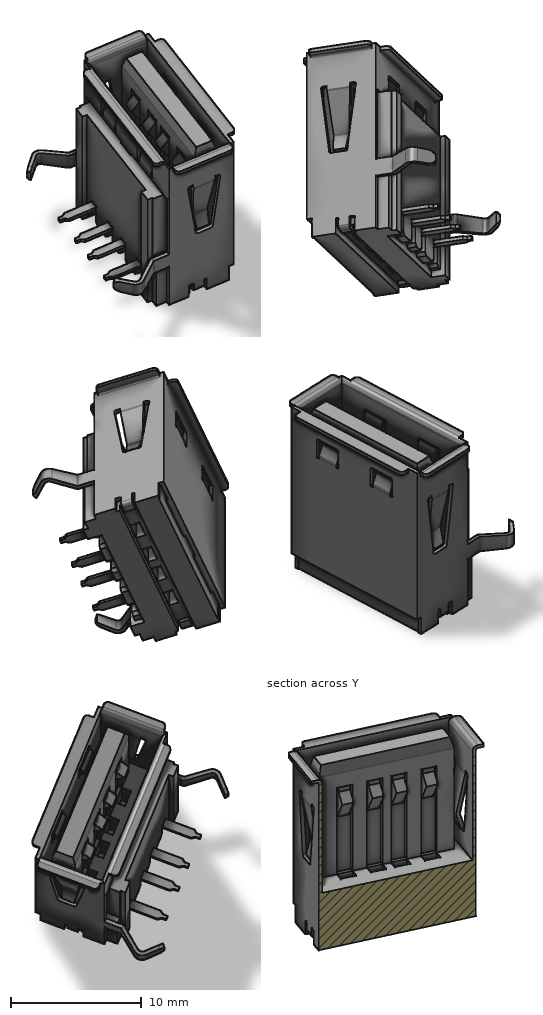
import cadquery as cq
import math

SHEET = 0.32
HALF_WIDTH = 6.55
DEPTH = 5.70
HEIGHT = 15.26
HALF_CAVITY = HALF_WIDTH - SHEET
BACK_INNER = DEPTH - SHEET
BACK_SKIRT_Z = 1.54
SKIRT_BACK_Y = 5.28

FLANGE_OUT = 0.73
FLANGE_SIDE_OUT = 0.64
FLANGE_THICK = 0.30
FLANGE_HALF_SPAN = 5.62
FLANGE_CORNER = 0.35
MOUTH_RADIUS = 0.45
FLANGE_ROOT_RADIUS = 0.13

FLOOR_Z = 5.10
HOUSING_BACK_Y = 5.20
PLATE_FRONT_Y = -0.91
PLATE_TOP_Z = 11.52
PLATE_HALF_WIDTH = 5.62
PLATE_FOOT_HALF_WIDTH = 6.15
RAIL_FRONT_Y = -1.30
RAIL_INNER_X = 4.53
RAIL_OUTER_X = 5.49
KEY_WIDTH = 1.50
KEY_DEPTH = 0.10
KEY_HEIGHT = 0.50
BACK_PAD_X = 2.92
BACK_PAD_WIDTH = 3.74
BACK_PAD_TOP_Z = 4.60

TONGUE_HALF_WIDTH = 5.60
TONGUE_FRONT_Y = 2.80
TONGUE_BACK_Y = 4.68
TONGUE_TOP_Z = 15.00
TONGUE_TAPER_Z = 14.10
NOSE_HALF_WIDTH = 5.38
NOSE_FRONT_Y = 3.05
NOSE_BACK_Y = 4.47

PIN_CENTRES = (-3.5, -1.0, 1.0, 3.5)
PIN_WIDTH = 0.70
PIN_TIP_WIDTH = 0.29
PIN_THICK = 0.30
PIN_BOTTOM_Z = 2.13
PIN_END_Y = -3.93
PIN_TAPER_START_Y = -3.30
PIN_TAPER_END_Y = -3.58
CONTACT_WIDTH = 0.95
GROOVE_WIDTH = 1.30
GROOVE_DEPTH = 0.33
GROOVE_TOP_Z = 12.80
FLOOR_SLOT_FRONT_Y = 2.04
CONTACT_CREST_Y = 2.15
CONTACT_CREST_Z = 11.60
CONTACT_TOP_Z = 12.75
CONTACT_SHOULDER_Z = 12.35
CONTACT_UPRIGHT_Y = 2.90
CONTACT_BOTTOM_Z = 10.0

PLATE_RECESS_Z = 0.55
PLATE_RECESS_DEPTH = 0.75
PIN_SLOT_TOP_Z = 2.53
PIN_SLOT_FLARE = 0.27

LATCH_X = 2.79
LATCH_WINDOW_WIDTH = 2.26
LATCH_WINDOW_BOTTOM_Z = 11.78
LATCH_WINDOW_TOP_Z = 13.53
LATCH_WINDOW_CORNER = 0.20
LATCH_WIDTH = 1.80
LATCH_KNEE_Z = 12.93
LATCH_TOP_Z = 13.40
FRONT_LATCH_DIP = 0.27
BACK_LATCH_DIP = 0.45
SPRING_BEND_RADIUS = 0.30

SIDE_WINDOW_TOP_Z = 12.28
SIDE_WINDOW_BOTTOM_Z = 6.70
SIDE_WINDOW_CORNER = 0.20
SIDE_WINDOW_TOP_Y = (1.62, 4.55)
SIDE_WINDOW_BOTTOM_Y = (2.37, 3.84)
SIDE_SPRING_TOP_Y = (2.11, 4.08)
SIDE_SPRING_BOTTOM_Y = (2.59, 3.56)
SIDE_SPRING_BOTTOM_Z = 6.95
SIDE_SPRING_KNEE_Z = 8.35
SIDE_SPRING_DIP = 0.62

LUG_TOP_Z = 5.67
LUG_BOTTOM_Z = 4.28
LUG_TIP_TOP_Z = 5.50
LUG_TIP_BOTTOM_Z = 4.42
LUG_TIP_RADIUS = 0.45
LUG_SHOULDER_Y = -1.42
LUG_END_Y = -5.0
LUG_ELBOW = (-8.036, -3.45)
LUG_TIP = (-6.55, -4.89)
LUG_ELBOW_RADIUS = 0.55
LUG_SHOULDER_RADIUS = 0.20

NOTCH_Y = (1.98, 3.32)
NOTCH_HEIGHT = 0.65
CLIP_SLOT_Y = (1.73, 3.32)
CLIP_Y = (2.20, 3.08)
CLIP_SLOT_TOP_Z = 1.25
CLIP_SLOT_CORNER = 0.11
CLIP_BOTTOM_Z = 0.30
CLIP_BEND_RADIUS = 0.32
CLIP_LENGTH = 0.80


def block(x_range, y_range, z_range):
    """Axis-aligned box given by its limits."""
    size = [high - low for low, high in (x_range, y_range, z_range)]
    corner = (x_range[0], y_range[0], z_range[0])
    return cq.Workplane("XY").box(*size, centered=False).translate(corner)


def span(half):
    """Limits placed evenly about zero."""
    return (-half, half)


def around(centre, width):
    """Limits of a width placed evenly about a centre."""
    return (centre - width / 2, centre + width / 2)


def prism_along_x(points, x_range):
    """Prism with a closed (Y, Z) outline."""
    plane = cq.Workplane("YZ", origin=(x_range[0], 0, 0))
    return plane.polyline(points).close().extrude(x_range[1] - x_range[0])


def prism_along_y(points, y_range):
    """Prism with a closed (X, Z) outline."""
    plane = cq.Workplane("XZ", origin=(0, y_range[1], 0))
    return plane.polyline(points).close().extrude(y_range[1] - y_range[0])


def both_sides(body):
    """The body joined with its mirror image across X = 0."""
    return body.union(body.mirror("YZ"))


def direction(start, end):
    length = math.dist(start, end)
    return ((end[0] - start[0]) / length, (end[1] - start[1]) / length)


def step(point, heading, distance):
    return (point[0] + heading[0] * distance, point[1] + heading[1] * distance)


def strip_bend(corner, before, after, radius, offset):
    """Start, middle and end of one bend arc, offset to the left of the path."""
    turn = math.atan2(
        before[0] * after[1] - before[1] * after[0],
        before[0] * after[0] + before[1] * after[1],
    )
    arc_radius = radius - math.copysign(1, turn) * offset
    half_turn = abs(turn) / 2
    bisector = direction((0, 0), (after[0] - before[0], after[1] - before[1]))
    centre = step(corner, bisector, radius / math.cos(half_turn))
    reach = arc_radius * math.tan(half_turn)
    apex = step(centre, bisector, -arc_radius / math.cos(half_turn))
    return (
        step(apex, before, -reach),
        step(centre, bisector, -arc_radius),
        step(apex, after, reach),
    )


def bent_strip(plane, path, radii, thickness):
    """Closed outline of an even strip along an open path, one bend radius per inner corner."""
    headings = [direction(start, end) for start, end in zip(path, path[1:])]
    sides = []
    for offset in (thickness / 2, -thickness / 2):
        bends = []
        for corner, before, after, radius in zip(path[1:], headings, headings[1:], radii):
            bends.append(strip_bend(corner, before, after, radius, offset))
        first = step(path[0], (-headings[0][1], headings[0][0]), offset)
        last = step(path[-1], (-headings[-1][1], headings[-1][0]), offset)
        sides.append((first, bends, last))
    (left_first, left_bends, left_last), (right_first, right_bends, right_last) = sides
    outline = plane.moveTo(*left_first)
    for start, middle, end in left_bends:
        outline = outline.lineTo(*start).threePointArc(middle, end)
    outline = outline.lineTo(*left_last).lineTo(*right_last)
    for start, middle, end in reversed(right_bends):
        outline = outline.lineTo(*end).threePointArc(middle, start)
    return outline.lineTo(*right_first).close()


def flange_plates():
    """Four flat flanges around the mouth, each with rounded outer corners."""
    z_range = (HEIGHT - FLANGE_THICK, HEIGHT)
    side_edge = HALF_WIDTH + FLANGE_SIDE_OUT
    front = block(span(FLANGE_HALF_SPAN), (-FLANGE_OUT, SHEET), z_range)
    front = front.edges("|Z and <Y").fillet(FLANGE_CORNER)
    back = block(span(FLANGE_HALF_SPAN), (BACK_INNER, DEPTH + FLANGE_OUT), z_range)
    back = back.edges("|Z and >Y").fillet(FLANGE_CORNER)
    side = block((-side_edge, -HALF_CAVITY), (SHEET, BACK_INNER), z_range)
    side = side.edges("|Z and <X").fillet(FLANGE_CORNER)
    return front.union(back).union(both_sides(side))


def flange_root_fillets(body):
    """Round the corner between each flange underside and its wall."""
    z = HEIGHT - FLANGE_THICK
    middle_y = DEPTH / 2
    for point in (
        (0, 0, z),
        (0, DEPTH, z),
        (-HALF_WIDTH, middle_y, z),
        (HALF_WIDTH, middle_y, z),
    ):
        body = body.edges(cq.NearestToPointSelector(point)).fillet(FLANGE_ROOT_RADIUS)
    return body


def shell_walls():
    """Open box with a flanged mouth, its front and side inner edges rolled outward."""
    solid_box = block(span(HALF_WIDTH), (0, DEPTH), (0, HEIGHT))
    envelope = flange_root_fillets(solid_box.union(flange_plates()))
    bore_y = (SHEET, BACK_INNER)
    margin = 2 * FLANGE_OUT
    ring = block(span(HALF_WIDTH + margin), (-margin, DEPTH + margin), (0, HEIGHT))
    ring = ring.cut(block(span(HALF_CAVITY), bore_y, (0, HEIGHT)))
    rolled_edges = cq.selectors.BoxSelector(
        (-HALF_WIDTH, 0, HEIGHT - SHEET), (HALF_WIDTH, BACK_INNER - SHEET, HEIGHT + SHEET)
    )
    ring = ring.edges(rolled_edges).fillet(MOUTH_RADIUS)
    shell = envelope.intersect(ring)
    shell = shell.cut(block(span(HALF_WIDTH), (SKIRT_BACK_Y, DEPTH), (0, BACK_SKIRT_Z)))
    corner_gap = block((-HALF_CAVITY, -PLATE_HALF_WIDTH), (0, SHEET), (0, PLATE_TOP_Z))
    return shell.cut(both_sides(corner_gap))


def latch_window(x, y_range):
    z_range = (LATCH_WINDOW_BOTTOM_Z, LATCH_WINDOW_TOP_Z)
    window = block(around(x, LATCH_WINDOW_WIDTH), y_range, z_range)
    return window.edges("|Y and >Z").fillet(LATCH_WINDOW_CORNER)


def latch_spring(x, wall_y, dip):
    """Tongue rooted at the window sill, kinked into the cavity (dip along +Y if positive)."""
    path = [
        (wall_y, LATCH_WINDOW_BOTTOM_Z - SHEET / 2),
        (wall_y, LATCH_WINDOW_BOTTOM_Z + SHEET / 2),
        (wall_y + dip, LATCH_KNEE_Z),
        (wall_y + dip / 4, LATCH_TOP_Z),
    ]
    plane = cq.Workplane("YZ", origin=(x - LATCH_WIDTH / 2, 0, 0))
    radii = (SPRING_BEND_RADIUS, SPRING_BEND_RADIUS)
    return bent_strip(plane, path, radii, SHEET).extrude(LATCH_WIDTH)


def add_latches(shell):
    for x in (-LATCH_X, LATCH_X):
        shell = shell.cut(latch_window(x, (0, SHEET)))
        shell = shell.cut(latch_window(x, (BACK_INNER, DEPTH)))
        shell = shell.union(latch_spring(x, SHEET / 2, FRONT_LATCH_DIP))
        shell = shell.union(latch_spring(x, DEPTH - SHEET / 2, -BACK_LATCH_DIP))
    return shell


def trapezoid(bottom_y, bottom_z, top_y, top_z):
    return [
        (bottom_y[0], bottom_z),
        (bottom_y[1], bottom_z),
        (top_y[1], top_z),
        (top_y[0], top_z),
    ]


def side_window():
    outline = trapezoid(
        SIDE_WINDOW_BOTTOM_Y, SIDE_WINDOW_BOTTOM_Z, SIDE_WINDOW_TOP_Y, SIDE_WINDOW_TOP_Z
    )
    window = prism_along_x(outline, (-HALF_WIDTH, -HALF_CAVITY))
    return window.edges("|X").fillet(SIDE_WINDOW_CORNER)


def side_spring():
    """Tapered tongue rooted at the top of the side window, kinked into the cavity."""
    wall_x = -HALF_WIDTH + SHEET / 2
    path = [
        (wall_x, SIDE_WINDOW_TOP_Z + SHEET / 2),
        (wall_x, SIDE_WINDOW_TOP_Z - SHEET),
        (wall_x + SIDE_SPRING_DIP, SIDE_SPRING_KNEE_Z),
        (wall_x + SHEET / 2, SIDE_SPRING_BOTTOM_Z),
    ]
    plane = cq.Workplane("XZ", origin=(0, DEPTH, 0))
    radii = (SPRING_BEND_RADIUS, SPRING_BEND_RADIUS)
    strip = bent_strip(plane, path, radii, SHEET).extrude(DEPTH)
    taper = trapezoid(
        SIDE_SPRING_BOTTOM_Y,
        SIDE_SPRING_BOTTOM_Z - SHEET,
        SIDE_SPRING_TOP_Y,
        SIDE_WINDOW_TOP_Z + SHEET / 2,
    )
    return strip.intersect(prism_along_x(taper, span(HALF_WIDTH)))


def lug():
    """Board lock leg: leaves the side wall forward, bends outward and returns inward."""
    wall_x = -HALF_WIDTH + SHEET / 2
    path = [(wall_x, SHEET), (wall_x, LUG_SHOULDER_Y), LUG_ELBOW, LUG_TIP]
    radii = (LUG_SHOULDER_RADIUS, LUG_ELBOW_RADIUS)
    strip = bent_strip(cq.Workplane("XY"), path, radii, SHEET).extrude(HEIGHT)
    side_outline = [
        (SHEET, LUG_BOTTOM_Z),
        (SHEET, LUG_TOP_Z),
        (LUG_SHOULDER_Y, LUG_TOP_Z),
        (LUG_END_Y, LUG_TIP_TOP_Z),
        (LUG_END_Y, LUG_TIP_BOTTOM_Z),
        (LUG_SHOULDER_Y, LUG_BOTTOM_Z),
    ]
    profile = prism_along_x(side_outline, (LUG_ELBOW[0], wall_x + SHEET))
    tip_corners = profile.edges("|X and <Y")
    return strip.intersect(tip_corners.fillet(LUG_TIP_RADIUS))


def clip_cutout():
    """Two round-topped relief slots that free the clip, open at the lower edge."""
    wall_x = (-HALF_WIDTH, -HALF_CAVITY)
    cutout = block(wall_x, CLIP_SLOT_Y, (0, NOTCH_HEIGHT))
    for y_range in ((CLIP_SLOT_Y[0], CLIP_Y[0]), (CLIP_Y[1], CLIP_SLOT_Y[1])):
        slot = block(wall_x, y_range, (0, CLIP_SLOT_TOP_Z))
        cutout = cutout.union(slot.edges("|X and >Z").fillet(CLIP_SLOT_CORNER))
    return cutout


def clip():
    """Tab end rolled inward under the housing foot."""
    bend = block(
        (-HALF_WIDTH, -HALF_WIDTH + CLIP_LENGTH), CLIP_Y, (CLIP_BOTTOM_Z, NOTCH_HEIGHT)
    )
    return bend.edges("|Y and <X and <Z").fillet(CLIP_BEND_RADIUS)


def make_shell():
    shell = add_latches(shell_walls())
    shell = shell.cut(both_sides(side_window()))
    shell = shell.union(both_sides(side_spring()))
    shell = shell.union(both_sides(lug()))
    return shell.cut(both_sides(clip_cutout()))


def tongue():
    """Contact carrier with a tapered nose."""
    stem = block(
        span(TONGUE_HALF_WIDTH), (TONGUE_FRONT_Y, TONGUE_BACK_Y), (FLOOR_Z, TONGUE_TAPER_Z)
    )
    nose_shift = (NOSE_FRONT_Y + NOSE_BACK_Y - TONGUE_FRONT_Y - TONGUE_BACK_Y) / 2
    nose = (
        cq.Workplane("XY", origin=(0, (TONGUE_FRONT_Y + TONGUE_BACK_Y) / 2, TONGUE_TAPER_Z))
        .rect(2 * TONGUE_HALF_WIDTH, TONGUE_BACK_Y - TONGUE_FRONT_Y)
        .workplane(offset=TONGUE_TOP_Z - TONGUE_TAPER_Z)
        .center(0, nose_shift)
        .rect(2 * NOSE_HALF_WIDTH, NOSE_BACK_Y - NOSE_FRONT_Y)
        .loft(ruled=True)
    )
    return stem.union(nose)


def front_plate():
    """Mounting plate with two vertical rails and a recessed, slotted foot."""
    plate_y = (PLATE_FRONT_Y, 0)
    plate = block(span(PLATE_HALF_WIDTH), plate_y, (0, PLATE_TOP_Z))
    plate = plate.union(block(span(PLATE_FOOT_HALF_WIDTH), plate_y, (0, FLOOR_Z)))
    rail = block((RAIL_INNER_X, RAIL_OUTER_X), (RAIL_FRONT_Y, 0), (0, PLATE_TOP_Z))
    plate = plate.union(both_sides(rail))
    recess_y = (PLATE_FRONT_Y, PLATE_FRONT_Y + PLATE_RECESS_DEPTH)
    plate = plate.cut(block(span(RAIL_INNER_X), recess_y, (0, PLATE_RECESS_Z)))
    key_z = (PLATE_TOP_Z - KEY_HEIGHT, PLATE_TOP_Z)
    plate = plate.cut(block(span(KEY_WIDTH / 2), (-KEY_DEPTH, 0), key_z))
    for x in PIN_CENTRES:
        plate = plate.cut(pin_slot(x))
    return plate


def pin_slot(x):
    """Slot for a pin, flared where it opens into the foot recess."""
    half = PIN_WIDTH / 2
    flare = half + PIN_SLOT_FLARE
    outline = [
        (x - half, PIN_SLOT_TOP_Z),
        (x + half, PIN_SLOT_TOP_Z),
        (x + half, PLATE_RECESS_Z + PIN_SLOT_FLARE),
        (x + flare, PLATE_RECESS_Z),
        (x - flare, PLATE_RECESS_Z),
        (x - half, PLATE_RECESS_Z + PIN_SLOT_FLARE),
    ]
    return prism_along_y(outline, (PLATE_FRONT_Y, PLATE_FRONT_Y + PLATE_RECESS_DEPTH))


def make_housing():
    base = block(span(HALF_CAVITY), (0, HOUSING_BACK_Y), (0, FLOOR_Z))
    for x in (-BACK_PAD_X, BACK_PAD_X):
        pad = block(
            around(x, BACK_PAD_WIDTH), (HOUSING_BACK_Y, BACK_INNER), (BACK_SKIRT_Z, BACK_PAD_TOP_Z)
        )
        base = base.union(pad)
    base = base.cut(block(span(HALF_WIDTH), NOTCH_Y, (0, NOTCH_HEIGHT)))
    housing = base.union(tongue()).union(front_plate())
    groove_back = TONGUE_FRONT_Y + GROOVE_DEPTH
    for x in PIN_CENTRES:
        groove_x = around(x, GROOVE_WIDTH)
        groove = block(groove_x, (TONGUE_FRONT_Y, groove_back), (FLOOR_Z, GROOVE_TOP_Z))
        floor_slot = block(groove_x, (FLOOR_SLOT_FRONT_Y, TONGUE_FRONT_Y), (0, FLOOR_Z))
        housing = housing.cut(groove).cut(floor_slot)
    return housing


def contact(x):
    """Solder pin with a necked tip, and the sprung crest on the tongue."""
    half = PIN_WIDTH / 2
    half_tip = PIN_TIP_WIDTH / 2
    outline = [
        (x - half, FLOOR_SLOT_FRONT_Y),
        (x - half, PIN_TAPER_START_Y),
        (x - half_tip, PIN_TAPER_END_Y),
        (x - half_tip, PIN_END_Y),
        (x + half_tip, PIN_END_Y),
        (x + half_tip, PIN_TAPER_END_Y),
        (x + half, PIN_TAPER_START_Y),
        (x + half, FLOOR_SLOT_FRONT_Y),
    ]
    plane = cq.Workplane("XY", origin=(0, 0, PIN_BOTTOM_Z))
    pin = plane.polyline(outline).close().extrude(PIN_THICK)
    pin_z = (PIN_BOTTOM_Z, PIN_BOTTOM_Z + PIN_THICK)
    contact_x = around(x, CONTACT_WIDTH)
    heel = block(contact_x, (FLOOR_SLOT_FRONT_Y, TONGUE_FRONT_Y), pin_z)
    groove_back = TONGUE_FRONT_Y + GROOVE_DEPTH
    crest_outline = [
        (groove_back, CONTACT_BOTTOM_Z),
        (groove_back, CONTACT_TOP_Z),
        (CONTACT_UPRIGHT_Y, CONTACT_TOP_Z),
        (CONTACT_UPRIGHT_Y, CONTACT_SHOULDER_Z),
        (CONTACT_CREST_Y, CONTACT_CREST_Z),
    ]
    return pin.union(heel).union(prism_along_x(crest_outline, contact_x))


def make_part():
    part = make_shell().union(make_housing()).union(both_sides(clip()))
    for x in PIN_CENTRES:
        part = part.union(contact(x))
    return part


result = make_part()